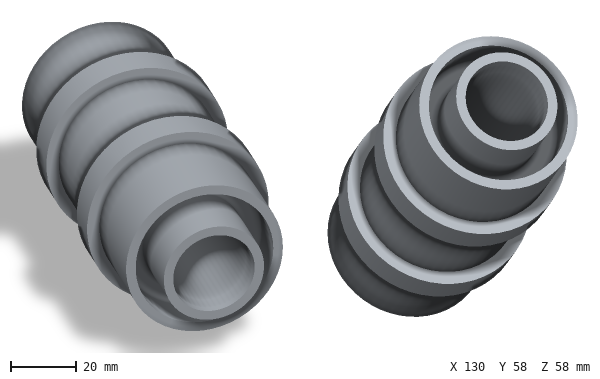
import cadquery as cq

tube_length = 130.0
tube_diameter = 32.0
bore_diameter = 26.0

body_length = 110.0
body_diameter = 50.0

collar_diameter = 58.0
collar_width = 10.8
collar_gap = 32.2

pocket_diameter = 44.0
pocket_depth = 14.0
pocket_floor_fillet = 2.0


def cylinder(diameter, length, start_x):
    """Solid cylinder along +X, starting at start_x."""
    return cq.Workplane("YZ").workplane(offset=start_x).circle(diameter / 2).extrude(length)


def end_pocket():
    """Ring cutter for the -X end, rounded where its walls meet the floor."""
    ring = cylinder(pocket_diameter, pocket_depth, -body_length / 2)
    ring = ring.cut(cylinder(tube_diameter, pocket_depth, -body_length / 2))
    return ring.faces(">X").edges().fillet(pocket_floor_fillet)


result = cylinder(body_diameter, body_length, -body_length / 2)
result = result.union(cylinder(tube_diameter, tube_length, -tube_length / 2))

for collar_start in (-collar_gap / 2 - collar_width, collar_gap / 2):
    result = result.union(cylinder(collar_diameter, collar_width, collar_start))

pocket = end_pocket()
result = result.cut(pocket).cut(pocket.mirror("YZ"))

result = result.cut(cylinder(bore_diameter, tube_length, -tube_length / 2))